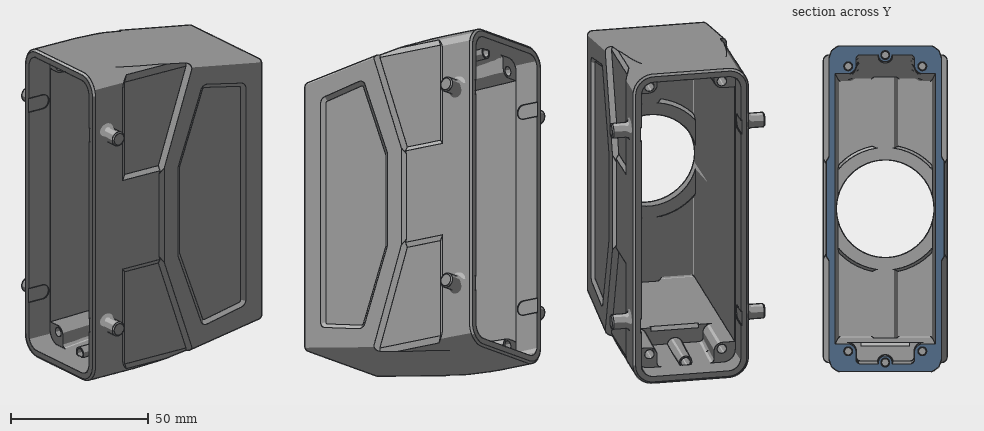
import cadquery as cq
import math


tolerance = 0.1

length = 76.0
height = 120.0
mouth_width = 43.0
mouth_corner_radius = 7.5
mouth_edge_chamfer = 0.8
back_width = 45.2
back_edge_radius = 2.0
top_bend_y = 11.2
shoulder_y = 32.0
shoulder_half_height = 57.8
back_half_height = 50.7
split_y = 60.0

plate_root_x = 19.7
plate_front_y = 31.0
plate_corner_z = 18.4
plate_slant = 0.347
plate_front_run = 3.9
plate_slant_run = 1.9
plate_reach = 70.0

recess_floor_x = 20.5
recess_bevel_z = 55.0
recess_bevel_size = (0.7, 2.1)
recess_front_y = 13.0
recess_inner_z = 17.3
recess_flank_run = 1.7

panel_depth = 1.1
panel_taper = 55.0
panel_back_y = 67.8
panel_knee_y = 48.3
panel_front_y = 37.2
panel_back_z = 43.3
panel_knee_z = 47.2
panel_front_z = 17.3
panel_corner_radius = 2.5

mouth_cavity_width = 37.0
mouth_cavity_height = 114.2
mouth_cavity_radius = 4.6
step_y = 9.5
cavity_floor_y = 73.5
cavity_front_half = (18.3, 49.4)
cavity_floor_half = (17.1, 47.0)
bay_front_half_width = 10.6
bay_floor_half_width = 10.2
top_bay_floor_z = 47.8
ledge_y = 28.0
ledge_half_width = 8.9
ledge_outer_z = 55.4
ledge_inner_z = 50.0
ledge_bevel = 2.0
boss_edge_radius = 3.2
bay_fillet = 1.4
floor_fillet = 0.7

cable_hole_diameter = 35.5
rib_height = 2.0
rib_slab_depth = 1.0
rib_top_half_width = 3.2
rib_edge_radius = 0.7
rib_base_half_width = 4.7
ring_top_radius = 22.3
ring_base_radius = 23.3

screw_mouth_diameter = 3.5
screw_bottom_diameter = 2.7
screw_depth = 15.0
screw_x = 13.5
screw_z = 51.9
middle_boss_front_radius = 2.3
middle_boss_rear_radius = 2.9
middle_boss_z = 56.0
middle_boss_length = 19.0

pin_diameter = 5.4
pin_tip_x = 28.5
pin_tip_chamfer = 0.5
pin_y = 6.3
pin_z = 37.1
pin_flare = 2.0
pin_slot_depth = 0.4


def prism_along_x(points, half_width):
    """Prism with a (Y, Z) outline, centred on X = 0."""
    return cq.Workplane("YZ").polyline(points).close().extrude(half_width, both=True)


def ruled_along_y(front_points, front_y, rear_points, rear_y):
    """Straight-sided solid between two (X, Z) outlines."""
    front = cq.Wire.makePolygon([cq.Vector(x, front_y, z) for x, z in front_points], close=True)
    rear = cq.Wire.makePolygon([cq.Vector(x, rear_y, z) for x, z in rear_points], close=True)
    return cq.Workplane(cq.Solid.makeLoft([front, rear], True))


def ruled_along_x(inner_points, inner_x, outer_points, outer_x):
    """Straight-sided solid between two (Y, Z) outlines."""
    inner = cq.Wire.makePolygon([cq.Vector(inner_x, y, z) for y, z in inner_points], close=True)
    outer = cq.Wire.makePolygon([cq.Vector(outer_x, y, z) for y, z in outer_points], close=True)
    return cq.Workplane(cq.Solid.makeLoft([inner, outer], True))


def cone_along_y(front_radius, rear_radius, depth, x, y, z):
    cone = cq.Solid.makeCone(front_radius, rear_radius, depth, cq.Vector(x, y, z), cq.Vector(0, 1, 0))
    return cq.Workplane(cone)


def rectangle(half_width, low_z, high_z):
    return [(-half_width, low_z), (half_width, low_z), (half_width, high_z), (-half_width, high_z)]


def rounded_block(width, block_height, radius, depth):
    block = cq.Workplane("XZ").rect(width, block_height).extrude(-depth)
    return block.edges("|Y").fillet(radius)


def both_sides(solid):
    return solid.union(solid.mirror("YZ"))


def end_profile():
    """(Y, Z) outline of the hood."""
    upper = [
        (0, height / 2),
        (top_bend_y, height / 2),
        (shoulder_y, shoulder_half_height),
        (length, back_half_height),
    ]
    lower = [(y, -z) for y, z in reversed(upper)]
    return upper + lower


def plate_outline(front_y, corner_z):
    slant_y = front_y + plate_slant * (plate_reach - corner_z)
    upper = [(front_y, corner_z), (slant_y, plate_reach), (length + plate_reach, plate_reach)]
    lower = [(y, -z) for y, z in reversed(upper)]
    return upper + lower


def make_raised_back():
    """Wide back part with rounded edges, cut to the raised plates in front of the split."""
    back_half_width = back_width / 2
    slab = prism_along_x(end_profile(), back_half_width)
    behind_shoulder = cq.selectors.BoxSelector(
        (-plate_reach, shoulder_y + tolerance, -plate_reach), (plate_reach, length + tolerance, plate_reach))
    slab = slab.edges(behind_shoulder).fillet(back_edge_radius)
    base_front_y = plate_front_y - plate_front_run
    base_corner_z = plate_corner_z + (plate_slant_run - plate_front_run) / plate_slant
    plate = ruled_along_x(
        plate_outline(base_front_y, base_corner_z), plate_root_x,
        plate_outline(plate_front_y, plate_corner_z), back_half_width,
    )
    middle = cq.Workplane("XY").box(2 * plate_root_x, length, 2 * height)
    middle = middle.translate((0, split_y + length / 2, 0))
    return slab.intersect(both_sides(plate).union(middle))


def recess_outline(offset):
    """Corner recess; the far sides lie in or beyond the raised plate."""
    near_y = recess_front_y + offset
    near_z = recess_inner_z + offset
    return [(near_y, near_z), (length, near_z), (length, plate_reach), (near_y, plate_reach)]


def make_corner_recesses():
    """Recesses with sloping flanks; a bevel runs from each flat floor to the rounded corner.

    Flanks and bevel are drawn at twice their size, so that they pass through the surfaces they meet.
    """
    wall_x = mouth_width / 2
    floor_depth = wall_x - recess_floor_x
    flanks = ruled_along_x(
        recess_outline(2 * recess_flank_run), wall_x - 2 * floor_depth,
        recess_outline(-recess_flank_run), wall_x + floor_depth,
    )
    bevel_x, bevel_z = recess_bevel_size
    floor_section = [
        (recess_floor_x, 0),
        (recess_floor_x, recess_bevel_z),
        (recess_floor_x - 2 * bevel_x, recess_bevel_z + 2 * bevel_z),
        (back_width, recess_bevel_z + 2 * bevel_z),
        (back_width, 0),
    ]
    above_floor = cq.Workplane("XZ").polyline(floor_section).close().extrude(-length)
    recess = flanks.intersect(above_floor)
    return both_sides(recess.union(recess.mirror("XY")))


def make_side_panels():
    """Sunk panels with sloping sides; the corners behind the front edge are rounded."""
    upper = [
        (panel_front_y, panel_front_z),
        (panel_knee_y, panel_knee_z),
        (panel_back_y, panel_back_z),
    ]
    lower = [(y, -z) for y, z in reversed(upper)]
    surface_x = back_width / 2
    outline = cq.Wire.makePolygon([cq.Vector(surface_x, y, z) for y, z in upper + lower], close=True)
    rounded = [vertex for vertex in outline.Vertices() if vertex.Y > panel_front_y + tolerance]
    outline = outline.fillet2D(panel_corner_radius, rounded)
    panel = cq.Workplane("YZ", origin=(surface_x, 0, 0)).add(outline).toPending()
    return both_sides(panel.extrude(-panel_depth, taper=panel_taper))


def make_outer_body():
    core = rounded_block(mouth_width, height, mouth_corner_radius, split_y)
    core = core.faces("<Y").edges().chamfer(mouth_edge_chamfer)
    core = core.intersect(prism_along_x(end_profile(), back_width))
    return core.cut(make_corner_recesses()).union(make_raised_back()).cut(make_side_panels())


def blend(front, floor, y):
    """Value at depth y of a size that changes evenly from the step to the cavity floor."""
    return front + (floor - front) * (y - step_y) / (cavity_floor_y - step_y)


def bay_section_wire(y):
    """Cavity half section with a bay between two bosses whose free corners are rounded."""
    half_x = blend(cavity_front_half[0], cavity_floor_half[0], y)
    half_z = blend(cavity_front_half[1], cavity_floor_half[1], y)
    bay_x = blend(bay_front_half_width, bay_floor_half_width, y)
    round_x = bay_x + boss_edge_radius
    round_z = half_z + boss_edge_radius
    arc_x = round_x - boss_edge_radius * math.sqrt(0.5)
    arc_z = round_z - boss_edge_radius * math.sqrt(0.5)
    section = (
        cq.Workplane("XZ", origin=(0, y, 0))
        .moveTo(-half_x, 0)
        .lineTo(half_x, 0)
        .lineTo(half_x, half_z)
        .lineTo(round_x, half_z)
        .threePointArc((arc_x, arc_z), (bay_x, round_z))
        .lineTo(bay_x, height / 2)
        .lineTo(-bay_x, height / 2)
        .lineTo(-bay_x, round_z)
        .threePointArc((-arc_x, arc_z), (-round_x, half_z))
        .lineTo(-half_x, half_z)
        .close()
    )
    return section.val()


def make_half_cavity(rear_y, end_z):
    """Upper half of the cavity from the step to rear_y; the bay's end wall slopes to end_z."""
    half = cq.Workplane(cq.Solid.makeLoft([bay_section_wire(step_y), bay_section_wire(rear_y)], True))
    below_end_wall = [(step_y, 0), (step_y, mouth_cavity_height / 2), (rear_y, end_z), (rear_y, 0)]
    half = half.intersect(prism_along_x(below_end_wall, mouth_cavity_width / 2))
    middle_z = (end_z + mouth_cavity_height / 2) / 2
    end_wall_edges = cq.selectors.BoxSelector(
        (-mouth_cavity_width, step_y + tolerance, middle_z - boss_edge_radius / 2),
        (mouth_cavity_width, rear_y - tolerance, height))
    return half.edges(end_wall_edges).edges("not |X").fillet(bay_fillet)


def make_cavity():
    front_x, front_z = cavity_front_half
    floor_x, floor_z = cavity_floor_half
    main = ruled_along_y(
        rectangle(blend(front_x, floor_x, ledge_y), -blend(front_z, floor_z, ledge_y), 0), ledge_y,
        rectangle(floor_x, -floor_z, 0), cavity_floor_y,
    )
    bevel_section = [
        (ledge_y, 0),
        (ledge_y, -ledge_inner_z),
        (ledge_y + ledge_bevel, ledge_bevel - ledge_inner_z),
        (ledge_y + ledge_bevel, 0),
    ]
    top_half = make_half_cavity(cavity_floor_y, top_bay_floor_z)
    bottom_half = make_half_cavity(ledge_y, ledge_outer_z).mirror("XY")
    mouth = rounded_block(mouth_cavity_width, mouth_cavity_height, mouth_cavity_radius, step_y)
    cavity = top_half.union(bottom_half).union(main)
    cavity = cavity.faces(">Y").edges().fillet(floor_fillet)
    return cavity.union(prism_along_x(bevel_section, ledge_half_width)).union(mouth)


def make_floor_ribs():
    rib_top_y = cavity_floor_y - rib_height
    rib = ruled_along_y(
        rectangle(rib_top_half_width, -back_half_height, back_half_height), rib_top_y,
        rectangle(rib_base_half_width, -back_half_height, back_half_height), cavity_floor_y,
    )
    ring = cone_along_y(ring_top_radius, ring_base_radius, rib_height, 0, rib_top_y, 0)
    inside = cq.Workplane("XY").box(mouth_cavity_width, 2 * length, 2 * cavity_front_half[1])
    slab_half = back_half_height - tolerance
    slab = cq.Workplane("XZ", origin=(0, cavity_floor_y, 0)).rect(height, height).extrude(-rib_slab_depth)
    ribs = rib.union(ring).union(slab)
    rib_slice = cq.selectors.BoxSelector(
        (-slab_half, 0, -slab_half), (slab_half, cavity_floor_y + tolerance, slab_half))
    ribs = ribs.edges(rib_slice).edges("#Y").fillet(rib_edge_radius)
    return ribs.intersect(inside)


def make_screw_hole(x, z):
    return cone_along_y(screw_mouth_diameter / 2, screw_bottom_diameter / 2, screw_depth, x, step_y, z)


def make_pin(z):
    radius = pin_diameter / 2
    wall_x = mouth_width / 2
    arc_middle = pin_flare * (1 - math.sqrt(0.5))
    profile = (
        cq.Workplane("XY")
        .moveTo(mouth_cavity_width / 2 + pin_slot_depth, 0)
        .lineTo(mouth_cavity_width / 2 + pin_slot_depth, radius)
        .lineTo(wall_x, radius + pin_flare)
        .threePointArc((wall_x + arc_middle, radius + arc_middle), (wall_x + pin_flare, radius))
        .lineTo(pin_tip_x - pin_tip_chamfer, radius)
        .lineTo(pin_tip_x, radius - pin_tip_chamfer)
        .lineTo(pin_tip_x, 0)
        .close()
    )
    pin = profile.revolve(360, (0, 0, 0), (1, 0, 0))
    return both_sides(pin.translate((0, pin_y, z)))


def make_pin_slot(z):
    """Shallow U-shaped slot inside the wall, open to the mouth."""
    half_width = mouth_cavity_width / 2 + pin_slot_depth
    end = cq.Workplane("YZ").center(pin_y, z).circle(pin_diameter / 2).extrude(half_width, both=True)
    run = cq.Workplane("XY").box(2 * half_width, pin_y, pin_diameter).translate((0, pin_y / 2, z))
    return end.union(run)


def make_middle_boss(z):
    """Flared boss half sunk into the end wall and trimmed inside its outer face."""
    boss = cone_along_y(middle_boss_front_radius, middle_boss_rear_radius, middle_boss_length, 0, step_y, z)
    return boss.intersect(cq.Workplane("XY").box(back_width, 2 * length, 2 * shoulder_half_height))


hood = make_outer_body().cut(make_cavity()).union(make_floor_ribs())
for end in (-1, 1):
    hood = hood.union(make_middle_boss(end * middle_boss_z)).cut(make_screw_hole(0, end * middle_boss_z))
    for side in (-1, 1):
        hood = hood.cut(make_screw_hole(side * screw_x, end * screw_z))
    hood = hood.union(make_pin(end * pin_z)).cut(make_pin_slot(end * pin_z))
cable_hole = cq.Workplane("XZ").circle(cable_hole_diameter / 2).extrude(-2 * length)
result = hood.cut(cable_hole)